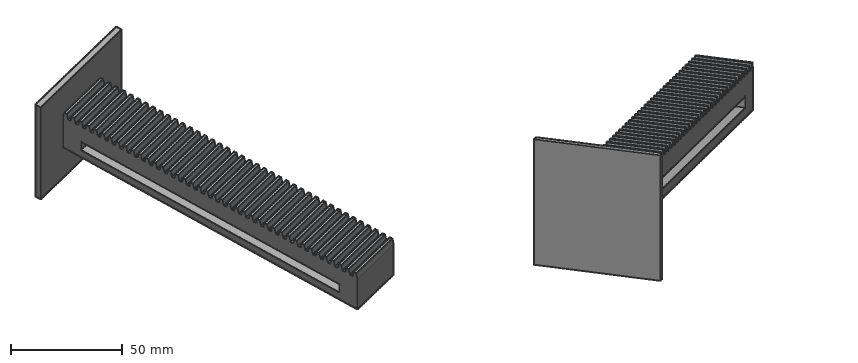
import cadquery as cq

total_length = 168.3
plate_side = 60.0
plate_thickness = 3.0

arm_width = 27.0
body_height = 20.0
tooth_count = 40
tooth_height = 3.0
tooth_root_width = 2.9
tooth_tip_width = 1.38

window_end_margin = 10.1
window_height = 5.4

arm_length = total_length - plate_thickness
pitch = (arm_length - tooth_root_width) / (tooth_count - 1)
first_tooth_x = plate_thickness + tooth_root_width / 2

bottom_z = -body_height / 2
root_z = body_height / 2
tip_z = root_z + tooth_height


def make_plate():
    """Square end plate centred on the X axis, outer face at X = 0."""
    return cq.Workplane("XY").box(
        plate_thickness, plate_side, plate_side, centered=(False, True, True)
    )


def make_rack():
    """Arm with straight-flanked teeth along its top, extruded across Y."""
    profile = [(total_length, bottom_z), (plate_thickness, bottom_z)]
    for index in range(tooth_count):
        center_x = first_tooth_x + index * pitch
        profile += [
            (center_x - tooth_root_width / 2, root_z),
            (center_x - tooth_tip_width / 2, tip_z),
            (center_x + tooth_tip_width / 2, tip_z),
            (center_x + tooth_root_width / 2, root_z),
        ]
    return cq.Workplane("XZ").polyline(profile).close().extrude(arm_width / 2, both=True)


def make_window():
    """Long rectangular opening through the arm, just below mid-height."""
    window_length = arm_length - 2 * window_end_margin
    return (
        cq.Workplane("XY")
        .box(window_length, arm_width, window_height)
        .translate((plate_thickness + arm_length / 2, 0, -window_height / 2))
    )


result = make_plate().union(make_rack()).cut(make_window())